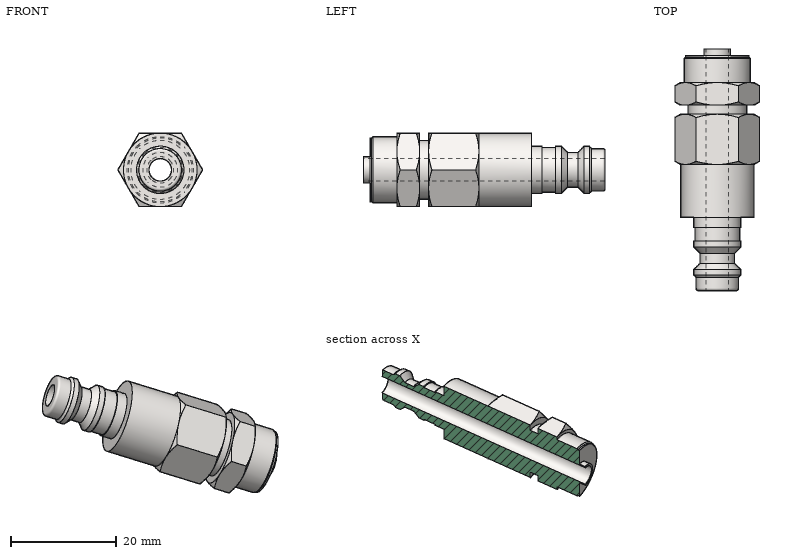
import cadquery as cq
import math

LENGTH = 46.0
BORE_RADIUS = 2.1

HEX_FLATS = 14.0
HEX_CORNER_RADIUS = HEX_FLATS / math.sqrt(3)
HEX_CHAMFER_ANGLE = 30.0
BODY_HEX_START = 24.0
BODY_HEX_END = 33.6
NUT_HEX_START = 35.3
NUT_HEX_END = 39.6

TIP_RADIUS = 4.05
TIP_ROUNDING = 0.45
TIP_END = 2.58
COLLAR_RADIUS = 4.5
FRONT_COLLAR_START = 3.05
FRONT_COLLAR_END = 4.05
GROOVE_RADIUS = 3.3
GROOVE_START = 5.2
GROOVE_END = 7.15
REAR_COLLAR_START = 8.33
REAR_COLLAR_END = 9.48
NECK_RADIUS = 4.3
NECK_END = 12.0
BODY_START = 14.0
BODY_RADIUS = HEX_FLATS / 2

THREAD_RADIUS = 5.6
NUT_RADIUS = 6.3
NUT_CHAMFER = 0.25
NUT_SHOULDER_END = 44.4
RIM_RADIUS = NUT_RADIUS - NUT_CHAMFER
RIM_END = 44.7
TUBE_RADIUS = 2.55


def turned(profile):
    """Revolve a closed (radius, Y) outline about the Y axis."""
    return profile.close().revolve(360, (0, 0, 0), (0, 1, 0))


def turned_body():
    arc_offset = TIP_ROUNDING * (1 - math.sqrt(0.5))
    profile = (
        cq.Workplane("XY")
        .moveTo(BORE_RADIUS, 0)
        .lineTo(TIP_RADIUS - TIP_ROUNDING, 0)
        .threePointArc((TIP_RADIUS - arc_offset, arc_offset), (TIP_RADIUS, TIP_ROUNDING))
        .lineTo(TIP_RADIUS, TIP_END)
        .lineTo(COLLAR_RADIUS, FRONT_COLLAR_START)
        .lineTo(COLLAR_RADIUS, FRONT_COLLAR_END)
        .lineTo(GROOVE_RADIUS, GROOVE_START)
        .lineTo(GROOVE_RADIUS, GROOVE_END)
        .lineTo(COLLAR_RADIUS, REAR_COLLAR_START)
        .lineTo(COLLAR_RADIUS, REAR_COLLAR_END)
        .lineTo(NECK_RADIUS, REAR_COLLAR_END)
        .lineTo(NECK_RADIUS, NECK_END)
        .lineTo(COLLAR_RADIUS, NECK_END)
        .lineTo(COLLAR_RADIUS, BODY_START)
        .lineTo(BODY_RADIUS, BODY_START)
        .lineTo(BODY_RADIUS, BODY_HEX_START)
        .lineTo(THREAD_RADIUS, BODY_HEX_START)
        .lineTo(THREAD_RADIUS, NUT_HEX_START)
        .lineTo(NUT_RADIUS, NUT_HEX_START)
        .lineTo(NUT_RADIUS, NUT_SHOULDER_END - NUT_CHAMFER)
        .lineTo(RIM_RADIUS, NUT_SHOULDER_END)
        .lineTo(RIM_RADIUS, RIM_END)
        .lineTo(TUBE_RADIUS, RIM_END)
        .lineTo(TUBE_RADIUS, LENGTH)
        .lineTo(BORE_RADIUS, LENGTH)
    )
    return turned(profile)


def chamfered_hex(start, end):
    """Bored hexagon whose corners are turned off by a cone at both ends."""
    face_radius = HEX_FLATS / 2
    drop = (HEX_CORNER_RADIUS - face_radius) * math.tan(math.radians(HEX_CHAMFER_ANGLE))
    prism = (
        cq.Workplane("XZ", origin=(0, start, 0))
        .polygon(6, 2 * HEX_CORNER_RADIUS)
        .extrude(start - end)
    )
    envelope = turned(
        cq.Workplane("XY")
        .moveTo(BORE_RADIUS, start)
        .lineTo(face_radius, start)
        .lineTo(HEX_CORNER_RADIUS, start + drop)
        .lineTo(HEX_CORNER_RADIUS, end - drop)
        .lineTo(face_radius, end)
        .lineTo(BORE_RADIUS, end)
    )
    return prism.intersect(envelope)


result = (
    turned_body()
    .union(chamfered_hex(BODY_HEX_START, BODY_HEX_END))
    .union(chamfered_hex(NUT_HEX_START, NUT_HEX_END))
)